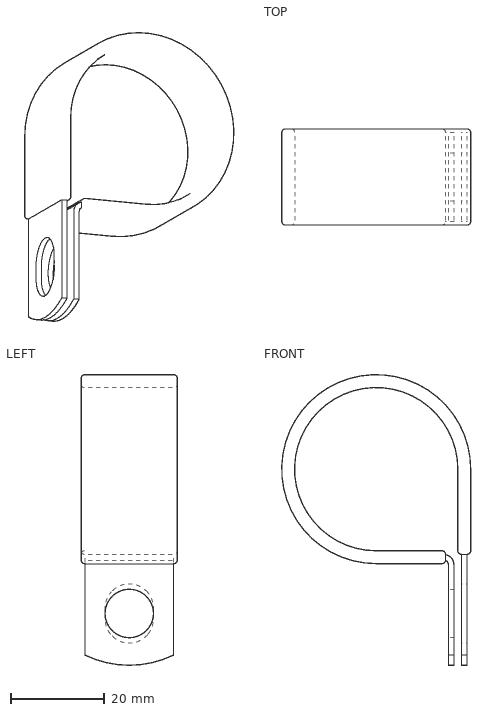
import cadquery as cq
import math


outer_radius = 20.27
cushion_wall = 0.79375
strap_thickness = 1.22
strap_width = 19.05
tab_gap = 1.5875
cushion_lower_end_x = 14.88
tab_bottom_z = -42.04
tab_end_sagitta = 2.2
bend_inner_radius = 1.0
hole_diameter = 10.32
slot_length = 12.7
hole_z = -30.92

strap_outer_radius = outer_radius - cushion_wall
strap_inner_radius = strap_outer_radius - strap_thickness
cushion_inner_radius = strap_inner_radius - cushion_wall
cushion_thickness = outer_radius - cushion_inner_radius
cushion_width = strap_width + 2 * cushion_wall
bend_outer_radius = bend_inner_radius + strap_thickness
bent_tab_outer_x = strap_inner_radius - tab_gap
bent_tab_inner_x = bent_tab_outer_x - strap_thickness
bend_start_x = bent_tab_outer_x - bend_outer_radius
bend_centre_z = -strap_inner_radius - bend_outer_radius
cushion_side_end_z = -strap_inner_radius
tab_corner_z = tab_bottom_z + tab_end_sagitta


def loop_mid_point(radius):
    """Middle of the 270 degree loop, at its upper left."""
    offset = radius * math.sqrt(0.5)
    return -offset, offset


def bend_mid_point(radius):
    """Middle of the 90 degree bend above the bent tab, at its upper right."""
    offset = radius * math.sqrt(0.5)
    return bend_start_x + offset, bend_centre_z + offset


def extrude_centred(profile, width):
    """Close the profile and extrude it equally to both sides of its plane."""
    return profile.close().extrude(width / 2, both=True)


def make_cushion():
    """J-shaped cushion with every outer edge rounded down to the strap."""
    profile = (
        cq.Workplane("XZ")
        .moveTo(outer_radius, cushion_side_end_z)
        .lineTo(outer_radius, 0)
        .threePointArc(loop_mid_point(outer_radius), (0, -outer_radius))
        .lineTo(cushion_lower_end_x, -outer_radius)
        .lineTo(cushion_lower_end_x, -cushion_inner_radius)
        .lineTo(0, -cushion_inner_radius)
        .threePointArc(loop_mid_point(cushion_inner_radius), (cushion_inner_radius, 0))
        .lineTo(cushion_inner_radius, cushion_side_end_z)
    )
    body = extrude_centred(profile, cushion_width)
    mid_radius = outer_radius - cushion_thickness / 2
    side_end = cq.NearestToPointSelector((mid_radius, 0, cushion_side_end_z))
    lower_end = cq.NearestToPointSelector((cushion_lower_end_x, 0, -mid_radius))
    edges_to_round = body.faces("|Y").edges()
    for end_face in (side_end, lower_end):
        edges_to_round = edges_to_round.add(body.faces(end_face).edges("|Y"))
    return edges_to_round.fillet(cushion_wall)


def make_strap():
    """Bent strip: straight tab, loop, lower leg and bent tab."""
    bend_inner_mid = bend_mid_point(bend_inner_radius)
    bend_outer_mid = bend_mid_point(bend_outer_radius)
    profile = (
        cq.Workplane("XZ")
        .moveTo(strap_outer_radius, tab_bottom_z)
        .lineTo(strap_outer_radius, 0)
        .threePointArc(loop_mid_point(strap_outer_radius), (0, -strap_outer_radius))
        .lineTo(bend_start_x, -strap_outer_radius)
        .threePointArc(bend_inner_mid, (bent_tab_inner_x, bend_centre_z))
        .lineTo(bent_tab_inner_x, tab_bottom_z)
        .lineTo(bent_tab_outer_x, tab_bottom_z)
        .lineTo(bent_tab_outer_x, bend_centre_z)
        .threePointArc(bend_outer_mid, (bend_start_x, -strap_inner_radius))
        .lineTo(0, -strap_inner_radius)
        .threePointArc(loop_mid_point(strap_inner_radius), (strap_inner_radius, 0))
        .lineTo(strap_inner_radius, tab_bottom_z)
    )
    return extrude_centred(profile, strap_width)


def tab_end_trim():
    """Block with the tabs' curved lower end, used to trim the strap."""
    half_width = strap_width / 2
    profile = (
        cq.Workplane("YZ")
        .moveTo(-half_width, tab_corner_z)
        .threePointArc((0, tab_bottom_z), (half_width, tab_corner_z))
        .lineTo(half_width, outer_radius)
        .lineTo(-half_width, outer_radius)
    )
    return extrude_centred(profile, 2 * outer_radius)


def bolt_hole():
    """Round hole through the bent tab."""
    return (
        cq.Workplane("YZ", origin=(bent_tab_inner_x, 0, hole_z))
        .circle(hole_diameter / 2)
        .extrude(strap_thickness)
    )


def bolt_slot():
    """Slot through the straight tab, long along Z, that lets the tabs align on one bolt."""
    return (
        cq.Workplane("YZ", origin=(strap_inner_radius, 0, hole_z))
        .slot2D(slot_length, hole_diameter, angle=90)
        .extrude(strap_thickness)
    )


strap = make_strap().intersect(tab_end_trim()).cut(bolt_hole()).cut(bolt_slot())
result = make_cushion().union(strap)